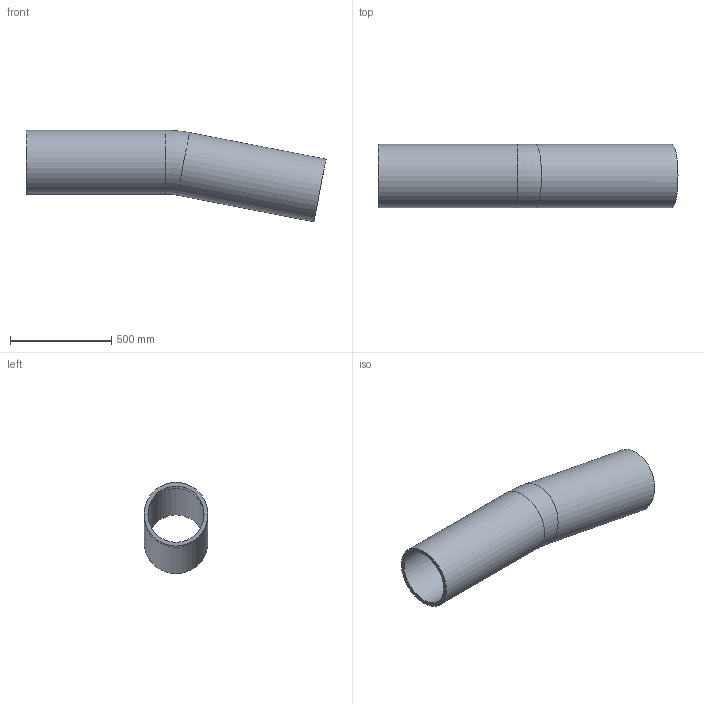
import cadquery as cq
import math

outer_diameter = 315.0
bore_diameter = 277.6
bend_radius = 1.5 * outer_diameter
bend_angle = 11.0
leg_length = 687.04


def centreline():
    """Path along +X that bends down toward -Z and continues straight."""
    angle = math.radians(bend_angle)

    def bend_point(turned):
        x = leg_length + bend_radius * math.sin(turned)
        z = -bend_radius * (1 - math.cos(turned))
        return x, z

    bend_middle = bend_point(angle / 2)
    bend_end = bend_point(angle)
    far_end = (
        bend_end[0] + leg_length * math.cos(angle),
        bend_end[1] - leg_length * math.sin(angle),
    )
    return (
        cq.Workplane("XZ")
        .lineTo(leg_length, 0)
        .threePointArc(bend_middle, bend_end)
        .lineTo(*far_end)
    )


def bent_pipe():
    """Ring-shaped section swept along the centreline."""
    return (
        cq.Workplane("YZ")
        .circle(outer_diameter / 2)
        .circle(bore_diameter / 2)
        .sweep(centreline())
    )


result = bent_pipe()